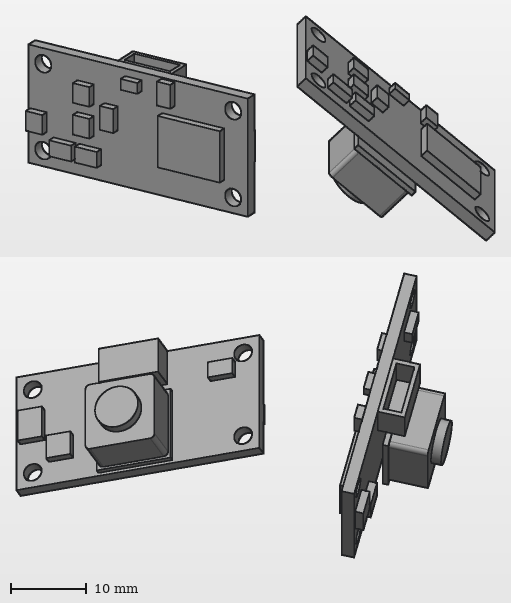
import cadquery as cq


BOARD_WIDTH = 34.05
BOARD_HEIGHT = 17.0
BOARD_THICKNESS = 1.7
HOLE_DIAMETER = 2.5
HOLE_SPACING_X = 29.5
HOLE_SPACING_Z = 12.45

CHIP_THICKNESS = 1.12
SMALL_CHIP = (2.6, 1.55)
SQUARISH_CHIP = (2.6, 2.83)
WIDE_CHIP = (3.4, 2.28)
TALL_CHIP = (2.08, 3.45)
PROCESSOR = (9.65, 7.4)
SQUARE_CHIP = (3.4, 3.4)
LONG_CHIP = (3.4, 4.5)

FRONT_CHIPS = [
    (SQUARISH_CHIP, -8.15, 3.68),
    (SQUARISH_CHIP, -8.15, -0.9),
    (SQUARISH_CHIP, -15.45, -2.0),
    (WIDE_CHIP, -11.4, -5.1),
    (WIDE_CHIP, -7.43, -5.1),
    (TALL_CHIP, -4.2, 1.05),
    (TALL_CHIP, 4.65, 6.57),
    (SMALL_CHIP, -0.7, 6.6),
    (PROCESSOR, 8.6, -0.3),
]
BACK_CHIPS = [
    (WIDE_CHIP, -11.92, 3.95),
    (SQUARE_CHIP, 10.75, -3.4),
    (LONG_CHIP, HOLE_SPACING_X / 2, 0.55),
]

CONNECTOR_WIDTH = 8.3
CONNECTOR_DEPTH = 3.68
CONNECTOR_HEIGHT = 5.0
CONNECTOR_WALL = 0.6

CAMERA_GAP = 0.92
FLANGE_SIZE = 10.35
FLANGE_THICKNESS = 0.75
FLANGE_OVERHANG = 0.1
CAMERA_SIZE = 9.67
CAMERA_DEPTH = 5.28
CAMERA_CORNER_RADIUS = 0.6
LENS_DIAMETER = 6.03
LENS_DEPTH = 1.35

board_top = BOARD_HEIGHT / 2
camera_z = -BOARD_HEIGHT / 2 - FLANGE_OVERHANG + FLANGE_SIZE / 2


def block(width, depth, height, x, y_front, z):
    """Box centred on x and z that extends from y_front toward +Y."""
    return cq.Workplane("XY").box(width, depth, height).translate((x, y_front + depth / 2, z))


def make_board():
    """Drilled board with its chips on both faces."""
    board = block(BOARD_WIDTH, BOARD_THICKNESS, BOARD_HEIGHT, 0, 0, 0)
    board = (
        board.faces("<Y").workplane(centerOption="CenterOfBoundBox")
        .rarray(HOLE_SPACING_X, HOLE_SPACING_Z, 2, 2)
        .hole(HOLE_DIAMETER)
    )
    for chips, y_front in ((FRONT_CHIPS, -CHIP_THICKNESS), (BACK_CHIPS, BOARD_THICKNESS)):
        for (width, height), x, z in chips:
            board = board.union(block(width, CHIP_THICKNESS, height, x, y_front, z))
    return board


def make_connector():
    """Box-shaped socket with walls and floor of equal thickness."""
    shell = block(
        CONNECTOR_WIDTH, CONNECTOR_DEPTH, CONNECTOR_HEIGHT,
        0, BOARD_THICKNESS, board_top - CONNECTOR_HEIGHT / 2,
    )
    cavity_height = CONNECTOR_HEIGHT - CONNECTOR_WALL
    cavity = block(
        CONNECTOR_WIDTH - 2 * CONNECTOR_WALL, CONNECTOR_DEPTH - 2 * CONNECTOR_WALL, cavity_height,
        0, BOARD_THICKNESS + CONNECTOR_WALL, board_top - cavity_height / 2,
    )
    return shell.cut(cavity)


def make_camera():
    """Square flange, round-cornered housing and cylindrical lens barrel."""
    flange_y = BOARD_THICKNESS + CAMERA_GAP
    housing_y = flange_y + FLANGE_THICKNESS
    lens_y = housing_y + CAMERA_DEPTH

    flange = block(FLANGE_SIZE, FLANGE_THICKNESS, FLANGE_SIZE, 0, flange_y, camera_z)
    housing = block(CAMERA_SIZE, CAMERA_DEPTH, CAMERA_SIZE, 0, housing_y, camera_z)
    housing = housing.edges("|Y").fillet(CAMERA_CORNER_RADIUS)
    lens = (
        cq.Workplane("XZ", origin=(0, lens_y, camera_z))
        .circle(LENS_DIAMETER / 2)
        .extrude(-LENS_DEPTH)
    )
    return flange.union(housing).union(lens)


board = make_board()
connector = make_connector()
camera = make_camera()

result = cq.Compound.makeCompound([board.val(), connector.val(), camera.val()])